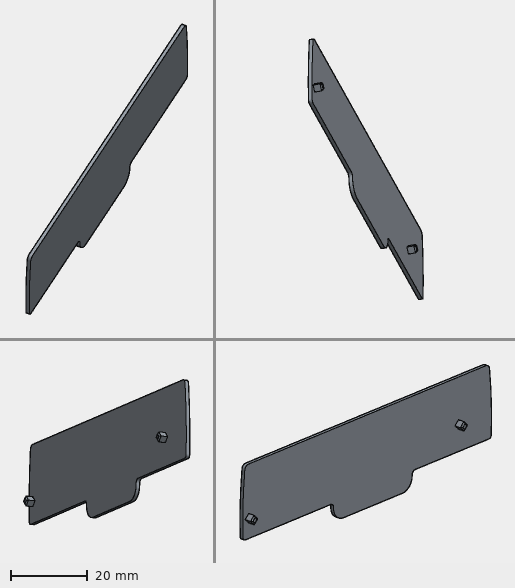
import cadquery as cq
import math

length = 94.85
thickness = 1.0
top_z = 15.3
plate_height = 21.1
bottom_z = top_z - plate_height
end_radius = 128.05
top_corner_radius = 1.4
bottom_corner_radius = 0.95

tab_center_y = -2.2
tab_width = 30.0
tab_height = 5.2
tab_corner_radius = 3.8
tab_root_radius = 1.1

peg_side = 1.9
peg_length = 2.3
peg_chamfer = 0.4
peg_centers = [(45.15, 0.0), (-34.8, 1.9)]


def end_y(z):
    """Half length of the plate at height z, on the bowed end."""
    return length / 2 - end_radius + math.sqrt(end_radius**2 - z**2)


def make_plate():
    """Bowed plate with a rounded tab."""
    top_y = end_y(top_z)
    bottom_y = end_y(bottom_z)
    plate = (
        cq.Workplane("YZ")
        .moveTo(-top_y, top_z)
        .lineTo(top_y, top_z)
        .threePointArc((length / 2, 0), (bottom_y, bottom_z))
        .lineTo(-bottom_y, bottom_z)
        .threePointArc((-length / 2, 0), (-top_y, top_z))
        .close()
        .extrude(thickness)
    )
    plate = plate.edges("|X and >Z").fillet(top_corner_radius)
    plate = plate.edges("|X and <Z").fillet(bottom_corner_radius)

    overlap = plate_height / 2
    tab = (
        cq.Workplane("YZ")
        .center(tab_center_y, bottom_z + (overlap - tab_height) / 2)
        .rect(tab_width, tab_height + overlap)
        .extrude(thickness)
        .edges("|X and <Z")
        .fillet(tab_corner_radius)
    )
    return plate.union(tab)


def round_tab_roots(plate):
    """Fillet the two inner corners where the tab meets the lower edge."""
    for side in (-1, 1):
        root = (thickness / 2, tab_center_y + side * tab_width / 2, bottom_z)
        plate = plate.edges(cq.NearestToPointSelector(root)).fillet(tab_root_radius)
    return plate


def make_peg(y, z):
    """Square peg turned 45 degrees, with a chamfered free end."""
    return (
        cq.Workplane("YZ")
        .rect(peg_side, peg_side)
        .extrude(-peg_length)
        .faces("<X")
        .chamfer(peg_chamfer)
        .rotate((0, 0, 0), (1, 0, 0), 45)
        .translate((0, y, z))
    )


result = round_tab_roots(make_plate())
for peg_y, peg_z in peg_centers:
    result = result.union(make_peg(peg_y, peg_z))